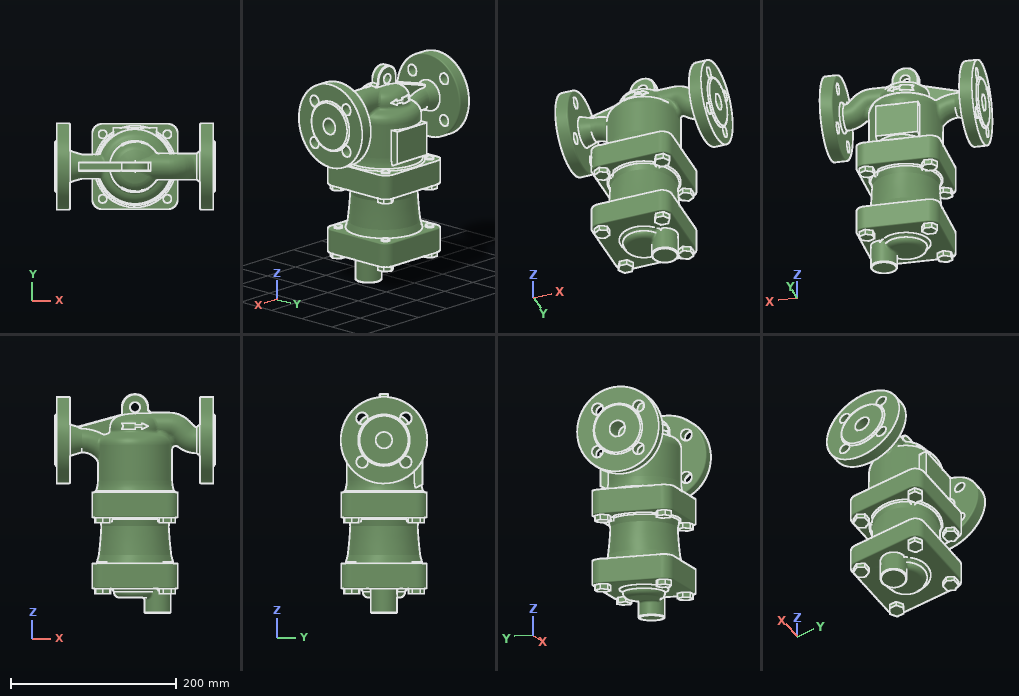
import cadquery as cq
import math

total_length = 194.0
pipe_z = 209.0

flange_radius = 52.5
flange_thick = 16.5
flange_round = 1.9
face_step = 2.0
face_radius = 29.1
flange_hole_diameter = 14.0
flange_hole_circle = 74.5
bore_diameter = 20.0
bore_depth = 33.0

plate_side = 103.9
plate_corner = 12.7
plate_round = 1.5
upper_plate_top = 146.0
lower_plate_top = 60.1
plate_pair_thick = 30.5
bolt_offset = 39.08
bolt_head_corners = 19.3
bolt_head_height = 6.4
bolt_end_diameter = 10.0
bolt_end_height = 1.9
spotface_radius = 13.5
spotface_depth = 10.0

body_radius = 45.0
body_flare_radius = 47.2
body_foot_radius = 49.5
body_foot_height = 2.0
flare_top = 160.5
flare_curve = 39.7
shoulder_base = 203.2
shoulder_radius = 13.8
dome_radius = 30.7
dome_blend = 5.0
dome_round = 15.0
dome_spring = 224.0
dome_cap_radius = 63.5

inlet_radius = 14.8
inlet_root_radius = 19.3
inlet_root_x = -75.8
inlet_root_neck = 18.3
inlet_bend_x = -64.0
inlet_bend_radius = 37.0
inlet_bend_angle = 75.0
outlet_radius = 16.03
outlet_root_radius = 19.0
outlet_bend_end = 74.7
outlet_top_z = 226.5
outlet_bend_1 = 17.2
outlet_bend_2 = 20.7
outlet_slope = 45.0

lug_radius = 16.03
lug_hole_diameter = 12.0
lug_z = 265 - lug_radius
lug_thick = 10.9
lug_round = 0.8
lug_foot = 3.2
rib_start_x = -68.0
rib_start_z = 225.7
rib_end_z = 240.0

pad_width = 52.5
pad_face_y = 46.5
pad_bottom = 155.5
pad_top = 196.0

arrow_raise = 0.5
arrow_z = 226.0
arrow_length = 32.0
arrow_width = 7.5
arrow_shaft_width = 3.2
arrow_head_length = 7.7
arrow_notch = 1.9

neck_top_radius = 44.5
neck_rim_radius = 42.7
neck_rim_drop = 1.9
neck_waist_radius = 40.93
neck_waist_z = 105.5
neck_middle_radius = 42.0
neck_middle_z = 87.5
neck_base_radius = 44.0
neck_base_z = 70.0
neck_foot_radius = 46.5

bowl_root_radius = 30.0
bowl_root_curve = 6.5
bowl_radius = 25.7
bowl_z = 25.7
bowl_round = 7.2
drain_x = 27.3
drain_radius = 16.03
drain_chamfer = 1.0

inlet_blend = 4.0
outlet_blend = 4.2
drain_blend = 2.6
seam_tolerance = 0.003
seam_sample = 0.37

half_length = total_length / 2
flange_outer_x = half_length - face_step
flange_inner_x = flange_outer_x - flange_thick
upper_plate_bottom = upper_plate_top - plate_pair_thick
lower_plate_bottom = lower_plate_top - plate_pair_thick


def revolve_z(profile):
    """Turn a closed XZ profile about the body axis."""
    return profile.close().revolve(360, (0, 0, 0), (0, 1, 0))


def cylinder_x(radius, x_start, x_end, z):
    """Cylinder along X between two positions."""
    return cq.Workplane("YZ", origin=(x_start, 0, z)).circle(radius).extrude(x_end - x_start)


def pipe_flange(side):
    """Round pipe flange with a raised face; side is -1 for the inlet and +1 for the outlet."""
    disc = cylinder_x(flange_radius, side * flange_inner_x, side * flange_outer_x, pipe_z)
    inner_face = "<X" if side > 0 else ">X"
    disc = disc.faces(inner_face).edges().fillet(flange_round)
    raised = cylinder_x(face_radius + face_step, side * flange_inner_x, side * half_length, pipe_z)
    outer_face = ">X" if side > 0 else "<X"
    raised = raised.faces(outer_face).edges().chamfer(face_step - 0.3)
    holes = (
        cq.Workplane("YZ", origin=(side * flange_inner_x, 0, pipe_z))
        .polarArray(flange_hole_circle / 2, 45, 360, 4)
        .circle(flange_hole_diameter / 2)
        .extrude(side * flange_thick)
    )
    return disc.union(raised).cut(holes)


def plate_pair(top, round_top):
    """Two clamped square plates, modelled as one block with rounded corners."""
    block = (
        cq.Workplane("XY", origin=(0, 0, top - plate_pair_thick))
        .rect(plate_side, plate_side)
        .extrude(plate_pair_thick)
        .edges("|Z")
        .fillet(plate_corner)
    )
    block = block.faces("<Z").edges().fillet(plate_round)
    if round_top:
        block = block.faces(">Z").edges().fillet(plate_round)
    return block


def plate_bolts(top):
    """Four bolts turned about the body axis: hex heads below, round ends above."""
    bottom = top - plate_pair_thick
    head = (
        cq.Workplane("XY", origin=(bolt_offset, -bolt_offset, bottom - bolt_head_height))
        .polygon(6, bolt_head_corners)
        .extrude(bolt_head_height + plate_round)
    )
    end = (
        cq.Workplane("XY", origin=(bolt_offset, -bolt_offset, top - plate_round))
        .circle(bolt_end_diameter / 2)
        .extrude(bolt_end_height + plate_round)
    )
    bolt = head.union(end)
    bolts = bolt
    for turn in (90, 180, 270):
        bolts = bolts.union(bolt.rotate((0, 0, 0), (0, 0, 1), turn))
    return bolts


def dome(grow):
    """Domed cap, its surface moved outward by grow."""
    round_centre = dome_radius - dome_round
    tilt = math.asin(round_centre / (dome_cap_radius - dome_round))
    cap_centre_z = dome_spring - (dome_cap_radius - dome_round) * math.cos(tilt)
    side_radius = dome_round + grow
    cap_radius = dome_cap_radius + grow

    def side_point(angle):
        return round_centre + side_radius * math.sin(angle), dome_spring + side_radius * math.cos(angle)

    def cap_point(angle):
        return cap_radius * math.sin(angle), cap_centre_z + cap_radius * math.cos(angle)

    return revolve_z(
        cq.Workplane("XZ")
        .moveTo(0, shoulder_base)
        .lineTo(dome_radius + grow, shoulder_base)
        .lineTo(dome_radius + grow, dome_spring)
        .threePointArc(side_point((tilt + math.pi / 2) / 2), side_point(tilt))
        .threePointArc(cap_point(tilt / 2), cap_point(0))
    )


def upper_body():
    """Cylindrical body with a flared foot, a round shoulder and a domed cap."""
    foot_z = upper_plate_top + body_foot_height
    shoulder_top = shoulder_base + shoulder_radius
    dome_foot = dome_radius + 0.8 * dome_blend
    ring_radius = body_radius - shoulder_radius
    dome_foot_z = shoulder_base + math.sqrt(shoulder_radius**2 - (dome_foot - ring_radius) ** 2)
    shoulder = revolve_z(
        cq.Workplane("XZ")
        .moveTo(0, upper_plate_top)
        .lineTo(body_foot_radius, upper_plate_top)
        .lineTo(body_flare_radius, foot_z)
        .radiusArc((body_radius, flare_top), flare_curve)
        .lineTo(body_radius, shoulder_base)
        .radiusArc((dome_foot, dome_foot_z), -shoulder_radius)
        .radiusArc((dome_radius, shoulder_top + dome_blend), dome_blend)
        .lineTo(0, shoulder_top + dome_blend)
    )
    return shoulder.union(dome(0))


def name_pad():
    """Flat pad on the back of the body, its underside sloping into the flare."""
    return (
        cq.Workplane("YZ", origin=(-pad_width / 2, 0, 0))
        .moveTo(0, pad_top)
        .lineTo(pad_face_y, pad_top)
        .lineTo(pad_face_y, pad_bottom)
        .lineTo(0, pad_bottom - pad_face_y / 2)
        .close()
        .extrude(pad_width)
    )


def inlet_pipe():
    """Tapered pipe from the inlet flange, bending down into the body."""
    taper = (
        cq.Workplane("XZ")
        .moveTo(-flange_inner_x, pipe_z)
        .lineTo(-flange_inner_x, pipe_z + inlet_root_radius)
        .lineTo(inlet_root_x, pipe_z + inlet_root_neck)
        .lineTo(inlet_bend_x, pipe_z + inlet_radius)
        .lineTo(inlet_bend_x, pipe_z)
        .close()
        .revolve(360, (0, pipe_z, 0), (1, pipe_z, 0))
    )
    bend = (
        cq.Workplane("YZ", origin=(inlet_bend_x, 0, pipe_z))
        .circle(inlet_radius)
        .revolve(inlet_bend_angle, (0, -inlet_bend_radius, 0), (1, -inlet_bend_radius, 0))
    )
    return taper.union(bend)


def outlet_pipe():
    """S-shaped pipe from the dome down to the outlet flange."""
    slope = math.radians(outlet_slope)
    bends = outlet_bend_1 + outlet_bend_2
    drop = outlet_top_z - pipe_z
    straight = (drop - bends * (1 - math.cos(slope))) / math.sin(slope)
    run = bends * math.sin(slope) + straight * math.cos(slope)
    start_x = outlet_bend_end - run
    first_x = start_x + outlet_bend_1 * math.sin(slope)
    first_z = outlet_top_z - outlet_bend_1 * (1 - math.cos(slope))
    second_x = first_x + straight * math.cos(slope)
    second_z = first_z - straight * math.sin(slope)
    path = (
        cq.Workplane("XZ")
        .moveTo(0, outlet_top_z)
        .lineTo(start_x, outlet_top_z)
        .radiusArc((first_x, first_z), outlet_bend_1)
        .lineTo(second_x, second_z)
        .radiusArc((outlet_bend_end, pipe_z), -outlet_bend_2)
        .lineTo(flange_inner_x, pipe_z)
    )
    pipe = cq.Workplane("YZ", origin=(0, 0, outlet_top_z)).circle(outlet_radius).sweep(path)
    root = (
        cq.Workplane("XZ")
        .moveTo(outlet_bend_end, pipe_z)
        .lineTo(outlet_bend_end, pipe_z + outlet_radius)
        .lineTo(flange_inner_x, pipe_z + outlet_root_radius)
        .lineTo(flange_inner_x, pipe_z)
        .close()
        .revolve(360, (0, pipe_z, 0), (1, pipe_z, 0))
    )
    return pipe.union(root)


def lifting_lug():
    """Lug with an eye on top of the dome and a sloping rib along the inlet."""
    lug = (
        cq.Workplane("XZ", origin=(0, lug_thick / 2, 0))
        .moveTo(rib_start_x, rib_start_z)
        .lineTo(-lug_radius, rib_end_z)
        .lineTo(-lug_radius, lug_z)
        .threePointArc((0, lug_z + lug_radius), (lug_radius, lug_z))
        .lineTo(lug_radius, outlet_top_z + outlet_radius + lug_foot)
        .lineTo(lug_radius + lug_foot, outlet_top_z + outlet_radius)
        .lineTo(lug_radius + lug_foot, dome_spring)
        .lineTo(-lug_radius, pipe_z)
        .lineTo(rib_start_x, pipe_z)
        .close()
        .extrude(lug_thick)
    )
    lug = lug.faces("<Y or >Y").edges().chamfer(lug_round)
    eye = (
        cq.Workplane("XZ", origin=(0, lug_thick, lug_z))
        .circle(lug_hole_diameter / 2)
        .extrude(2 * lug_thick)
    )
    return lug.cut(eye)


def flow_arrows():
    """Arrows along +X standing proud of the dome, front and back."""
    tail = -arrow_length / 2
    tip = arrow_length / 2
    head = tip - arrow_head_length
    outline = (
        cq.Workplane("XZ", origin=(0, body_radius, arrow_z))
        .polyline([
            (tail, arrow_width / 2),
            (0, arrow_width / 2),
            (0, arrow_shaft_width / 2),
            (head, arrow_shaft_width / 2),
            (head, arrow_width / 2),
            (tip, 0),
            (head, -arrow_width / 2),
            (head, -arrow_shaft_width / 2),
            (0, -arrow_shaft_width / 2),
            (0, -arrow_width / 2),
            (tail, -arrow_width / 2),
            (tail + arrow_notch, 0),
        ])
        .close()
        .extrude(2 * body_radius)
    )
    return outline.intersect(dome(arrow_raise))


def neck():
    """Waisted neck between the bolted joints, relieved around the upper bolt heads."""
    turned = revolve_z(
        cq.Workplane("XZ")
        .moveTo(0, lower_plate_top)
        .lineTo(neck_foot_radius, lower_plate_top)
        .lineTo(neck_base_radius, neck_base_z)
        .threePointArc((neck_middle_radius, neck_middle_z), (neck_waist_radius, neck_waist_z))
        .lineTo(neck_rim_radius, upper_plate_bottom - neck_rim_drop)
        .lineTo(neck_top_radius, upper_plate_bottom)
        .lineTo(0, upper_plate_bottom)
    )
    spotfaces = (
        cq.Workplane("XY", origin=(0, 0, upper_plate_bottom - spotface_depth))
        .rect(2 * bolt_offset, 2 * bolt_offset, forConstruction=True)
        .vertices()
        .circle(spotface_radius)
        .extrude(spotface_depth)
    )
    return turned.cut(spotfaces)


def blended(base, branch, radius, top_z):
    """Join a branch to a base and round the seam between them where it lies below top_z."""
    joined = base.union(branch)
    seam = [
        edge
        for edge in joined.edges().vals()
        if edge.Center().z < top_z
        and all(
            shell.distance(cq.Vertex.makeVertex(*edge.positionAt(seam_sample).toTuple())) < seam_tolerance
            for shell in (base.val().Shells()[0], branch.val().Shells()[0])
        )
    ]
    return joined.newObject(seam).fillet(radius)


def bowl_and_drain():
    """Shallow bowl under the lower joint with an off-centre drain pipe."""
    bowl = revolve_z(
        cq.Workplane("XZ")
        .moveTo(0, lower_plate_bottom)
        .lineTo(bowl_root_radius, lower_plate_bottom)
        .radiusArc((bowl_radius, bowl_z), bowl_root_curve * -1)
        .radiusArc((bowl_radius - bowl_round, bowl_z - bowl_round), bowl_round)
        .lineTo(0, bowl_z - bowl_round)
    )
    drain = (
        cq.Workplane("XY", origin=(drain_x, 0, 0))
        .circle(drain_radius)
        .extrude(lower_plate_bottom)
        .faces("<Z")
        .edges()
        .chamfer(drain_chamfer)
    )
    return blended(bowl, drain, drain_blend, lower_plate_bottom)


result = blended(upper_body(), inlet_pipe(), inlet_blend, outlet_top_z)
result = blended(result, outlet_pipe(), outlet_blend, outlet_top_z)
for feature in (
    name_pad(),
    lifting_lug(),
    flow_arrows(),
    pipe_flange(-1),
    pipe_flange(1),
    plate_pair(upper_plate_top, False),
    plate_pair(lower_plate_top, True),
    neck(),
    bowl_and_drain(),
    plate_bolts(upper_plate_top),
    plate_bolts(lower_plate_top),
):
    result = result.union(feature)

for side in (-1, 1):
    bore = cylinder_x(bore_diameter / 2, side * half_length, side * (half_length - bore_depth), pipe_z)
    result = result.cut(bore)